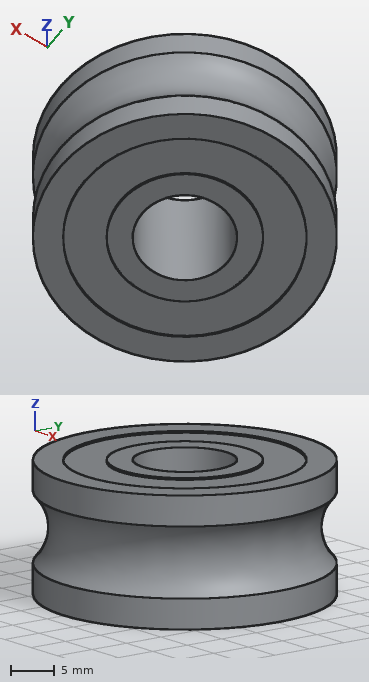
import cadquery as cq

outer_diameter = 35.0
roller_width = 15.9

bore_diameter = 12.0
inner_ring_diameter = 18.0
shield_diameter = 28.0

shield_recess = 0.2
shield_width = roller_width - 2 * shield_recess

groove_width = 8.55
groove_depth = 1.75


def ring(outside, inside, width):
    """Plain ring about Z, centred on the XY plane."""
    return (
        cq.Workplane("XY")
        .workplane(offset=-width / 2)
        .circle(outside / 2)
        .circle(inside / 2)
        .extrude(width)
    )


def grooved_ring():
    """Outer ring whose rim carries a circular-arc groove, revolved about Z."""
    rim_radius = outer_diameter / 2
    seat_radius = shield_diameter / 2
    end_height = roller_width / 2
    groove_height = groove_width / 2
    return (
        cq.Workplane("XZ")
        .moveTo(seat_radius, -end_height)
        .lineTo(rim_radius, -end_height)
        .lineTo(rim_radius, -groove_height)
        .threePointArc((rim_radius - groove_depth, 0), (rim_radius, groove_height))
        .lineTo(rim_radius, end_height)
        .lineTo(seat_radius, end_height)
        .close()
        .revolve(360, (0, 0, 0), (0, 1, 0))
    )


outer_ring = grooved_ring()
shield = ring(shield_diameter, inner_ring_diameter, shield_width)
inner_ring = ring(inner_ring_diameter, bore_diameter, roller_width)

result = cq.Compound.makeCompound([outer_ring.val(), shield.val(), inner_ring.val()])